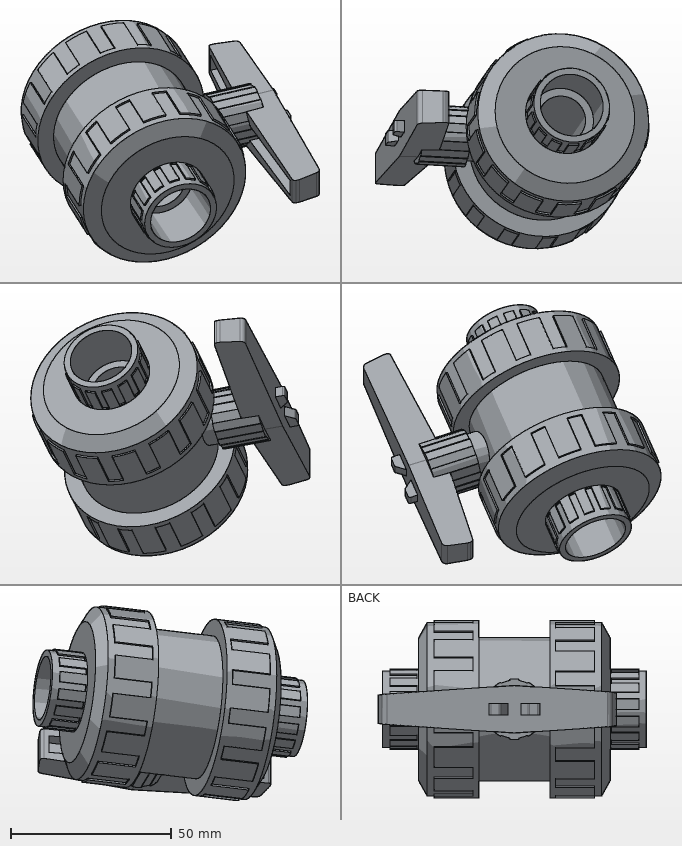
import cadquery as cq
import math


PIPE_END = 41.2
BORE_DIA = 15.0
SOCKET_DIA = 20.0
SOCKET_DEPTH = 16.0
PIPE_DIA = 24.0
PIPE_GRIP_DIA = 25.0
PIPE_RIB_START = 38.9
PIPE_RIB_ROOT = 30.4

BODY_DIA = 45.0
NUT_DIA = 54.35
NUT_GRIP_DIA = 55.5
NUT_FACE = 30.0
NUT_FACE_DIA = 44.4
NUT_CONE_END = 27.2
NUT_RIB_START = 25.0
NUT_RIB_ROOT = 12.9
NUT_BACK = 11.05

RIB_COUNT = 14
RIB_PITCH = 360 / RIB_COUNT
GAP_ANGLE = 10.1
RIB_PHASE = 7.6

STEM_DIA = 15.0
HUB_DIA = 18.9
HUB_BOTTOM = 26.0
HUB_TOP = 40.95
FLUTE_COUNT = 10
FLUTE_DEPTH = 0.4
FLUTE_WIDTH = HUB_DIA * math.sin(math.pi / (2 * FLUTE_COUNT))

HANDLE_LEFT = -31.8
HANDLE_RIGHT = 42.55
HANDLE_TOP = 46.8
HANDLE_END_BOTTOM = 37.2
HANDLE_MID_BOTTOM = 34.9
END_LEAN = 1.4
END_LEAN_STOP = 39.2
HANDLE_MID_HALF = 7.45
HANDLE_TAPER = 0.067
HANDLE_DRAFT = 1.3
TOP_ROUND = 1.7
BOTTOM_ROUND = 1.0
PLAN_OVERRUN = 1.2
POCKET_END_WALL = 2.5
POCKET_TOP = 41.8
POCKET_WIDTH = 5.8

OVERALL_DEPTH = 77.55
EAR_TOP = OVERALL_DEPTH - NUT_GRIP_DIA / 2
EAR_WIDTH = 3.7
EAR_OUTER = 7.95
EAR_CREST = 4.4
EAR_FOOT = 2.0
EAR_ROUND = 0.7
EAR_SINK = 0.8


def x_cylinder(diameter, start, end):
    return cq.Workplane("YZ", origin=(start, 0, 0)).circle(diameter / 2).extrude(end - start)


def y_cylinder(diameter, bottom, top):
    return cq.Workplane("XZ", origin=(0, bottom, 0)).circle(diameter / 2).extrude(bottom - top)


def ribbed_sleeve(base_dia, grip_dia, rib_start, rib_root, end):
    """Sleeve on the -X side: ribs from rib_start to rib_root, then a full ring up to end."""
    sleeve = x_cylinder(grip_dia, -rib_start, -end)
    reach = grip_dia
    half_span = reach * math.tan(math.radians(GAP_ANGLE / 2))
    wedge = (
        cq.Workplane("YZ", origin=(-rib_start, 0, 0))
        .polyline([(0, 0), (reach, -half_span), (reach, half_span)])
        .close()
        .extrude(rib_start - rib_root)
    )
    for index in range(RIB_COUNT):
        angle = RIB_PHASE + (index + 0.5) * RIB_PITCH
        sleeve = sleeve.cut(wedge.rotate((0, 0, 0), (1, 0, 0), angle))
    return sleeve.union(x_cylinder(base_dia, -rib_start, -end))


def union_nut():
    cone = (
        cq.Workplane("XY")
        .polyline([
            (-NUT_FACE, 0),
            (-NUT_FACE, NUT_FACE_DIA / 2),
            (-NUT_CONE_END, NUT_DIA / 2),
            (-NUT_RIB_START, NUT_DIA / 2),
            (-NUT_RIB_START, 0),
        ])
        .close()
        .revolve(360, (0, 0, 0), (1, 0, 0))
    )
    return cone.union(ribbed_sleeve(NUT_DIA, NUT_GRIP_DIA, NUT_RIB_START, NUT_RIB_ROOT, NUT_BACK))


def pipe_end():
    pipe = x_cylinder(PIPE_DIA, -PIPE_END, -NUT_FACE)
    grip = ribbed_sleeve(PIPE_DIA, PIPE_GRIP_DIA, PIPE_RIB_START, PIPE_RIB_ROOT, NUT_CONE_END)
    return pipe.union(grip)


def fluted_hub():
    hub = y_cylinder(HUB_DIA, HUB_BOTTOM, HUB_TOP)
    flute = cq.Workplane("XY").box(
        2 * FLUTE_DEPTH, HUB_TOP - HUB_BOTTOM, FLUTE_WIDTH
    ).translate((HUB_DIA / 2, (HUB_BOTTOM + HUB_TOP) / 2, 0))
    for index in range(FLUTE_COUNT):
        hub = hub.cut(flute.rotate((0, 0, 0), (0, 1, 0), index * 360 / FLUTE_COUNT))
    return hub


def handle():
    side = (
        cq.Workplane("XY")
        .polyline([
            (HANDLE_LEFT + END_LEAN, HANDLE_TOP),
            (HANDLE_LEFT, END_LEAN_STOP),
            (HANDLE_LEFT, HANDLE_END_BOTTOM),
            (0, HANDLE_MID_BOTTOM),
            (HANDLE_RIGHT, HANDLE_END_BOTTOM),
            (HANDLE_RIGHT, END_LEAN_STOP),
            (HANDLE_RIGHT - END_LEAN, HANDLE_TOP),
        ])
        .close()
        .extrude(HANDLE_MID_HALF, both=True)
    )
    side = side.edges("|Z and >Y").fillet(TOP_ROUND)
    side = side.edges("|Z and (<X or >X)").edges("<Y").fillet(BOTTOM_ROUND)

    plan_left = PLAN_OVERRUN * HANDLE_LEFT
    plan_right = PLAN_OVERRUN * HANDLE_RIGHT
    left_half = HANDLE_MID_HALF + HANDLE_TAPER * plan_left
    right_half = HANDLE_MID_HALF - HANDLE_TAPER * plan_right
    plan = (
        cq.Workplane("XZ", origin=(0, HANDLE_TOP, 0))
        .polyline([
            (plan_left, -left_half),
            (0, -HANDLE_MID_HALF),
            (plan_right, -right_half),
            (plan_right, right_half),
            (0, HANDLE_MID_HALF),
            (plan_left, left_half),
        ])
        .close()
        .extrude(HANDLE_TOP - HANDLE_MID_BOTTOM, taper=HANDLE_DRAFT)
    )

    pocket_left = HANDLE_LEFT + POCKET_END_WALL
    pocket_right = HANDLE_RIGHT - POCKET_END_WALL
    pocket = cq.Workplane("XY").box(
        pocket_right - pocket_left, POCKET_TOP - HANDLE_MID_BOTTOM, POCKET_WIDTH,
    ).translate(((pocket_left + pocket_right) / 2, (POCKET_TOP + HANDLE_MID_BOTTOM) / 2, 0))
    return side.intersect(plan).cut(pocket)


def pointer_ear():
    base = HANDLE_TOP - EAR_SINK
    ear = (
        cq.Workplane("XY")
        .polyline([
            (EAR_FOOT, base),
            (EAR_OUTER, base),
            (EAR_OUTER, EAR_TOP),
            (EAR_CREST, EAR_TOP),
            (EAR_FOOT, HANDLE_TOP),
        ])
        .close()
        .extrude(EAR_WIDTH / 2, both=True)
    )
    return ear.edges("|Z and >Y").fillet(EAR_ROUND)


body = x_cylinder(BODY_DIA, -NUT_CONE_END, NUT_CONE_END)
stem = y_cylinder(STEM_DIA, 0, HUB_TOP)

end_assembly = union_nut().union(pipe_end())
opposite_end = end_assembly.rotate((0, 0, 0), (0, 0, 1), 180)

ear = pointer_ear()
lever = handle().union(ear).union(ear.mirror("YZ"))

result = body.union(end_assembly).union(opposite_end).union(stem)
result = result.union(lever).union(fluted_hub())

result = result.cut(x_cylinder(BORE_DIA, -PIPE_END, PIPE_END))
result = result.cut(x_cylinder(SOCKET_DIA, -PIPE_END, SOCKET_DEPTH - PIPE_END))
result = result.cut(x_cylinder(SOCKET_DIA, PIPE_END - SOCKET_DEPTH, PIPE_END))